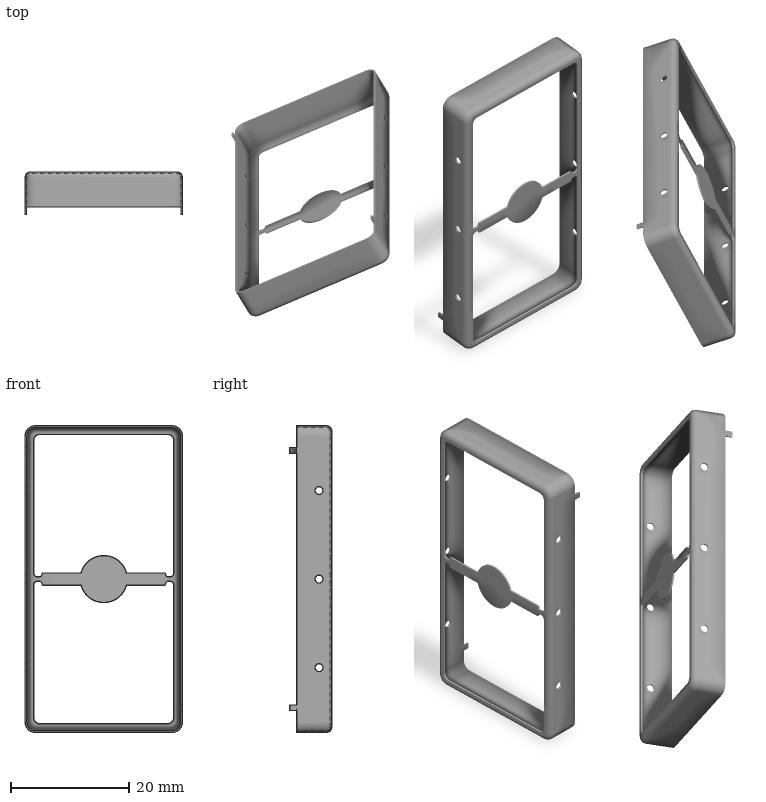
import cadquery as cq
import math

width = 26.7
height = 52.0
depth = 6.0
wall = 0.3
corner_radius = 1.8
rim_radius = 1.0

opening_inset = 1.5
opening_width = width - 2 * opening_inset
opening_height = height - 2 * opening_inset
opening_radius = 1.0

disc_radius = 4.0
bar_height = 2.1
neck_height = 0.8
neck_length = 1.35
bar_length = opening_width - 2 * neck_length
bar_corner_radius = 0.2
bar_root_radius = 0.4
neck_root_radius = 0.6
match_tolerance = 0.001

hole_diameter = 1.3
hole_pitch = 15.0
hole_from_back = 2.2

tab_length = 1.2
tab_height = 1.0
tab_from_end = 4.2

back_y = depth
flange_front_y = back_y - wall


def rounded_block(size_x, size_z, radius, front_y, rear_y):
    """Block centred in X and Z, with rounded corners along Y."""
    length_y = rear_y - front_y
    block = cq.Workplane("XY").box(size_x, length_y, size_z)
    return block.edges("|Y").fillet(radius).translate((0, (front_y + rear_y) / 2, 0))


def plate(size_x, size_z):
    """Flat rectangle with the thickness and Y position of the back flange."""
    center_y = (flange_front_y + back_y) / 2
    return cq.Workplane("XY").box(size_x, wall, size_z).translate((0, center_y, 0))


def make_shell():
    """Tray of uniform wall thickness with a rounded back rim."""
    outer = rounded_block(width, height, corner_radius, 0, back_y)
    outer = outer.faces(">Y").edges().fillet(rim_radius)
    inner = rounded_block(
        width - 2 * wall, height - 2 * wall, corner_radius - wall, 0, flange_front_y
    )
    inner = inner.faces(">Y").edges().fillet(rim_radius - wall)
    return outer.cut(inner)


def make_cross_bar():
    """Cross bar: stepped strip with rounded shoulders, plus the central disc."""
    bar = plate(bar_length, bar_height).edges("|Y").fillet(bar_corner_radius)
    neck = plate(opening_width, neck_height)
    disc = (
        cq.Workplane("XZ", origin=(0, back_y, 0))
        .circle(disc_radius)
        .extrude(wall)
    )
    return bar.union(neck).union(disc)


def round_neck_corners(opening, corner_x, radius):
    """Round the four opening edges where the necks have a corner at X = -corner_x and +corner_x."""
    def is_neck_corner(edge):
        center = edge.Center()
        on_corner_x = math.isclose(abs(center.x), corner_x, abs_tol=match_tolerance)
        on_neck_side = math.isclose(abs(center.z), neck_height / 2, abs_tol=match_tolerance)
        return on_corner_x and on_neck_side

    return opening.edges("|Y").filter(is_neck_corner).fillet(radius)


def make_opening():
    """Flange opening on both sides of the cross bar."""
    opening = rounded_block(
        opening_width, opening_height, opening_radius, flange_front_y, back_y
    )
    opening = opening.cut(make_cross_bar())
    opening = round_neck_corners(opening, bar_length / 2, bar_root_radius)
    return round_neck_corners(opening, opening_width / 2, neck_root_radius)


def make_side_holes():
    """Row of round holes through both side walls."""
    centers = [(back_y - hole_from_back, row * hole_pitch) for row in (-1, 0, 1)]
    return (
        cq.Workplane("YZ")
        .pushPoints(centers)
        .circle(hole_diameter / 2)
        .extrude(width, both=True)
    )


def make_tab(side):
    """Tab continuing a side wall past the open edge; side is -1 or +1 in X.

    Half of its block is sunk into the wall, so only tab_length stands out.
    """
    center_x = side * (width - wall) / 2
    center_z = -side * (height / 2 - tab_from_end)
    tab = cq.Workplane("XY").box(wall, 2 * tab_length, tab_height)
    return tab.translate((center_x, 0, center_z))


frame = make_shell().cut(make_opening()).cut(make_side_holes())
for wall_side in (-1, 1):
    frame = frame.union(make_tab(wall_side))

result = frame